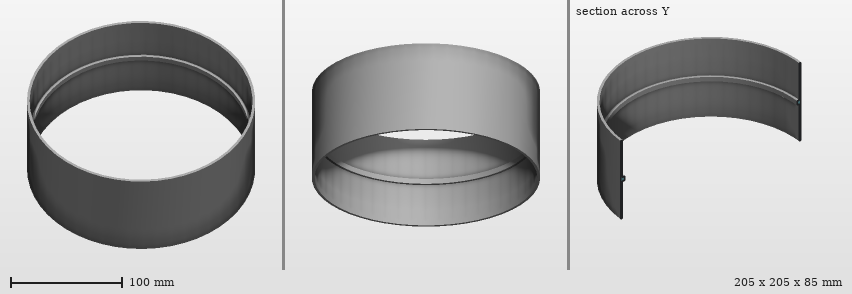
import cadquery as cq

outer_diameter = 205.0
socket_diameter = 200.0
stop_diameter = 195.0
height = 85.0
stop_height = 5.0


def ring(outside, inside, length):
    """Plain ring centred on the origin, with its axis along Z."""
    return (
        cq.Workplane("XY")
        .circle(outside / 2)
        .circle(inside / 2)
        .extrude(length / 2, both=True)
    )


sleeve = ring(outer_diameter, socket_diameter, height)

stop_rib = ring(outer_diameter, stop_diameter, stop_height)

result = sleeve.union(stop_rib)